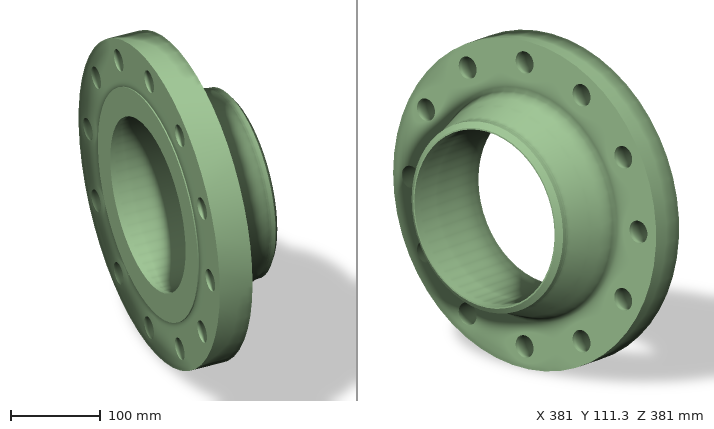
import cadquery as cq

flange_diameter = 381.0
flange_thickness = 40.0
total_length = 111.3
raised_face_diameter = 270.0
raised_face_height = 1.5
bore_diameter = 203.0

weld_end_diameter = 219.5
weld_end_length = 11.5
bevel_length = 5.0
bevel_depth = 6.5
hub_base_diameter = 262.0
shoulder_radius = 7.5
root_radius = 5.0

bolt_count = 12
bolt_circle_diameter = 330.0
bolt_hole_diameter = 26.0

edge_margin = 0.5

flange_front = raised_face_height
flange_back = flange_front + flange_thickness
neck_end = total_length - weld_end_length
bevel_start = total_length - bevel_length


def make_body():
    """Revolve the half section (radius, axial position) about the Y axis."""
    bore_radius = bore_diameter / 2
    weld_end_radius = weld_end_diameter / 2
    section = [
        (bore_radius, 0),
        (raised_face_diameter / 2, 0),
        (raised_face_diameter / 2, flange_front),
        (flange_diameter / 2, flange_front),
        (flange_diameter / 2, flange_back),
        (hub_base_diameter / 2, flange_back),
        (weld_end_radius, neck_end),
        (weld_end_radius, bevel_start),
        (weld_end_radius - bevel_depth, total_length),
        (bore_radius, total_length),
    ]
    return cq.Workplane("XY").polyline(section).close().revolve(360, (0, 0, 0), (0, 1, 0))


def round_ring_edge(body, diameter, position, radius):
    """Fillet the circular edge of the given diameter at an axial position."""
    reach = diameter / 2 + edge_margin
    corner = (-reach, position - edge_margin, -reach)
    opposite_corner = (reach, position + edge_margin, reach)
    ring = cq.selectors.BoxSelector(corner, opposite_corner, boundingbox=True)
    return body.edges(ring).fillet(radius)


def make_bolt_holes():
    """Through-drills evenly spaced on the bolt circle, one on the +X axis."""
    return (
        cq.Workplane("XZ")
        .polarArray(bolt_circle_diameter / 2, 0, 360, bolt_count)
        .circle(bolt_hole_diameter / 2)
        .extrude(-total_length)
    )


body = make_body()
body = round_ring_edge(body, weld_end_diameter, neck_end, shoulder_radius)
body = round_ring_edge(body, hub_base_diameter, flange_back, root_radius)
result = body.cut(make_bolt_holes())